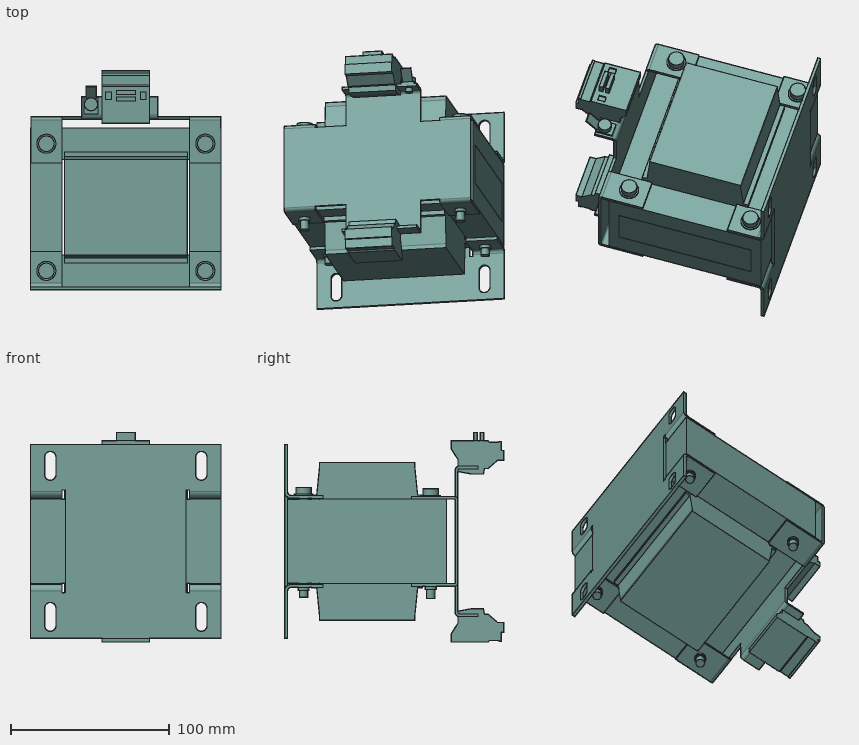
import cadquery as cq
import math


core_width = 120.0
core_length = 100.0
core_stack = 53.0
leg_width = 20.0
label_size = (87.0, 25.0)
label_thickness = 0.1
label_start = 8.5
label_corner = 1.0

sheet = 2.0
plate_height = 122.0
slot_length = 18.0
slot_width = 7.0
slot_spacing = 95.0
relief_width = 2.0
relief_top = 32.3
front_tab_gap = 0.5
front_tab_end = 24.25
front_bend_inner = 2.25

rear_sheet = 1.8
rear_width = 119.6
rear_web_height = 51.6
rear_face = 109.1
rear_tab_end = 80.0
rear_bend_inner = 0.5
arm_left = -27.8
arm_right = 20.1
shelf_top = 47.4
shelf_end = 121.6
shelf_bend_inner = 1.0

coil_width = 77.4
coil_top = 49.75
coil_taper = 1.8
coil_upright = 2.6
flange_top = 29.3
flange_overhang = 4.9

bolt_spacing_x = 100.0
bolt_edge = 10.0
washer_diameter = 12.0
washer_thickness = 0.7
head_diameter = 9.8
head_height = 4.2
nut_diameter = 7.0
nut_height = 2.0
shank_diameter = 5.4
bolt_length_under_head = 65.0

block_width = 30.0
block_top = 63.4
block_front = 104.8
block_front_bottom = 58.2
block_foot = 109.0
block_foot_top = 51.6
block_foot_bottom = 43.9
block_keel_start = 117.5
block_keel_end = 125.2
block_keel_bottom = 42.3
block_step_start = 125.8
block_step_end = 128.0
block_step = 45.7
block_nose_start = 134.0
block_nose_end = 138.05
block_nose_bottom = 50.9
block_nose_top = 57.2
block_lip_outer = 136.4
block_lip_inner = 134.9
block_lip_top = 62.9
block_ledge_end = 128.9
block_ledge = 62.4
jumper_width = 12.0
jumper_thickness = 2.4
jumper_top = 68.6
jumper_starts = (118.9, 123.0)
pocket_size = (3.6, 4.6)
pocket_depth = 1.0
pocket_spacing = 21.8
pocket_y = 122.1

earth_x = -21.9
earth_y = 116.8
earth_head_diameter = 8.2
earth_head_top = 52.0
earth_shank_diameter = 4.4
earth_shank_bottom = 43.0
earth_pad_width = 8.6
earth_pad_start = 110.7
earth_pad_thickness = 1.1
earth_blade_width = 6.6
earth_blade_thickness = 0.8
earth_blade_reach = 6.7

half_width = core_width / 2
half_stack = core_stack / 2
core_start = sheet
core_end = core_start + core_length
window_start = core_start + leg_width
window_end = core_end - leg_width
window_half = half_width - leg_width
front_tab_bottom = half_stack + front_tab_gap


def box(x0, x1, y0, y1, z0, z1):
    """Box between two opposite corners."""
    return cq.Workplane("XY").box(x1 - x0, y1 - y0, z1 - z0, centered=False).translate((x0, y0, z0))


def cylinder(x, y, z0, z1, diameter):
    """Upright cylinder between two heights."""
    return cq.Workplane("XY", origin=(x, y, z0)).circle(diameter / 2).extrude(z1 - z0)


def side_profile(x0):
    """Workplane in Y and Z, at the given X and extruding towards +X."""
    return cq.Workplane("YZ", origin=(x0, 0, 0))


def mirrored_in_z(shape):
    """The shape together with its reflection in the middle plane of the stack."""
    return shape.union(shape.mirror("XY"))


def bent_sheet(x0, x1, corner, upright_end, flat_end, inner_radius, thickness):
    """Sheet of L section; corner is the sharp outer corner of the bend (Y, Z)."""
    y, z = corner
    y_dir = math.copysign(1, flat_end - y)
    z_dir = math.copysign(1, upright_end - z)
    outer_radius = inner_radius + thickness
    center_y = y + y_dir * outer_radius
    center_z = z + z_dir * outer_radius
    diagonal = math.sqrt(0.5)

    def mid_arc(radius):
        return (center_y - y_dir * radius * diagonal, center_z - z_dir * radius * diagonal)

    return (
        side_profile(x0)
        .moveTo(y, upright_end)
        .lineTo(y, center_z)
        .threePointArc(mid_arc(outer_radius), (center_y, z))
        .lineTo(flat_end, z)
        .lineTo(flat_end, z + z_dir * thickness)
        .lineTo(center_y, z + z_dir * thickness)
        .threePointArc(mid_arc(inner_radius), (y + y_dir * thickness, center_z))
        .lineTo(y + y_dir * thickness, upright_end)
        .close()
        .extrude(x1 - x0)
    )


def make_core():
    core = box(-half_width, half_width, core_start, core_end, -half_stack, half_stack)
    window = box(-window_half, window_half, window_start, window_end, -half_stack, half_stack)
    label_length, label_height = label_size
    label = box(
        -half_width - label_thickness, -half_width,
        label_start, label_start + label_length,
        -label_height / 2, label_height / 2,
    )
    label = label.edges("|X and <Y").fillet(label_corner)
    return core.cut(window).union(label)


def make_coil():
    half_coil = coil_width / 2
    body = box(-half_coil, half_coil, window_start, window_end, -flange_top, flange_top)
    flange = box(
        -half_coil, half_coil,
        window_start - flange_overhang, window_end + flange_overhang,
        half_stack, flange_top,
    )
    crown = (
        side_profile(-half_coil)
        .moveTo(window_start - coil_taper, flange_top)
        .lineTo(window_start, coil_top - coil_upright)
        .lineTo(window_start, coil_top)
        .lineTo(window_end, coil_top)
        .lineTo(window_end, coil_top - coil_upright)
        .lineTo(window_end + coil_taper, flange_top)
        .close()
        .extrude(coil_width)
    )
    return body.union(mirrored_in_z(flange.union(crown)))


def make_mounting_plate():
    half_height = plate_height / 2
    plate = box(-half_width, half_width, 0, sheet, -half_height, half_height)
    slots = (
        cq.Workplane("XZ")
        .rect(slot_spacing, slot_spacing, forConstruction=True)
        .vertices()
        .slot2D(slot_length, slot_width, 90)
        .extrude(-sheet)
    )
    plate = plate.cut(slots)
    opening_edge = window_half - relief_width
    opening_width = half_width - opening_edge
    for x0, tab_x0 in ((-half_width, -half_width), (opening_edge, window_half)):
        plate = plate.cut(box(x0, x0 + opening_width, 0, sheet, -relief_top, relief_top))
        tab = bent_sheet(
            tab_x0, tab_x0 + leg_width, (0, front_tab_bottom),
            relief_top, front_tab_end, front_bend_inner, sheet,
        )
        plate = plate.union(mirrored_in_z(tab))
    return plate


def make_rear_bracket():
    tab_top = half_stack + rear_sheet
    inner_face = rear_face - rear_sheet
    half_web = rear_web_height / 2
    half_rear = rear_width / 2
    tab_width = half_rear - window_half
    bracket = box(-window_half, window_half, inner_face, rear_face, -half_web, half_web)
    for x0 in (-half_rear, window_half):
        tab = bent_sheet(
            x0, x0 + tab_width, (rear_face, tab_top),
            0, rear_tab_end, rear_bend_inner, rear_sheet,
        )
        bracket = bracket.union(mirrored_in_z(tab))
    arm = bent_sheet(
        arm_left, arm_right, (inner_face, shelf_top),
        0, shelf_end, shelf_bend_inner, rear_sheet,
    )
    return bracket.union(mirrored_in_z(arm))


def make_bolt(x, y, seat):
    """Clamping bolt whose washer rests on the sheet at height seat."""
    head_base = seat + washer_thickness
    bolt = cylinder(x, y, seat, head_base, washer_diameter)
    bolt = bolt.union(cylinder(x, y, head_base, head_base + head_height, head_diameter))
    bolt = bolt.union(cylinder(x, y, head_base - bolt_length_under_head, seat, shank_diameter))
    return bolt.union(cylinder(x, y, -seat - nut_height, -seat, nut_diameter))


def make_bolts():
    rows = (
        (core_start + bolt_edge, front_tab_bottom + sheet),
        (core_end - bolt_edge, half_stack + rear_sheet),
    )
    bolts = cq.Workplane("XY")
    for y, seat in rows:
        for x in (-bolt_spacing_x / 2, bolt_spacing_x / 2):
            bolts = bolts.union(make_bolt(x, y, seat))
    return bolts


def make_terminal_block():
    """Terminal block pair on the upper shelf, without its top details."""
    outline = [
        (block_front, block_top),
        (block_front, block_front_bottom),
        (block_foot, block_foot_top),
        (block_foot, block_foot_bottom),
        (block_keel_start, block_keel_bottom),
        (block_keel_end, block_keel_bottom),
        (block_step_start, block_step),
        (block_step_end, block_step),
        (block_nose_start, block_nose_bottom),
        (block_nose_end, block_nose_bottom),
        (block_nose_end, block_nose_top),
        (block_lip_outer, block_nose_top),
        (block_lip_outer, block_lip_top),
        (block_lip_inner, block_lip_top),
        (block_lip_inner, block_ledge),
        (block_ledge_end, block_ledge),
        (block_step_end, block_top),
    ]
    return side_profile(-block_width / 2).polyline(outline).close().extrude(block_width)


def make_terminals():
    upper = make_terminal_block()
    lower = upper.mirror("XY")
    for x in (-pocket_spacing / 2, pocket_spacing / 2):
        pocket = cq.Workplane("XY", origin=(x, pocket_y, block_top)).rect(*pocket_size).extrude(-pocket_depth)
        upper = upper.cut(pocket)
    for y in jumper_starts:
        jumper = box(
            -jumper_width / 2, jumper_width / 2,
            y, y + jumper_thickness,
            block_top - pocket_depth, jumper_top,
        )
        upper = upper.union(jumper)
    return upper.union(lower)


def make_earth_terminal():
    pad_top = shelf_top + earth_pad_thickness
    half_pad = earth_pad_width / 2
    half_blade = earth_blade_width / 2
    terminal = box(earth_x - half_pad, earth_x + half_pad, earth_pad_start, shelf_end, shelf_top, pad_top)
    terminal = terminal.union(cylinder(earth_x, earth_y, pad_top, earth_head_top, earth_head_diameter))
    terminal = terminal.union(cylinder(earth_x, earth_y, earth_shank_bottom, pad_top, earth_shank_diameter))
    offset = earth_blade_thickness * math.sqrt(0.5)
    blade = (
        side_profile(earth_x - half_blade)
        .moveTo(shelf_end - offset, pad_top - offset)
        .lineTo(shelf_end + earth_blade_reach, pad_top + earth_blade_reach)
        .lineTo(shelf_end + earth_blade_reach - offset, pad_top + earth_blade_reach + offset)
        .lineTo(shelf_end - 2 * offset, pad_top)
        .close()
        .extrude(earth_blade_width)
    )
    return terminal.union(blade)


result = (
    make_core()
    .union(make_coil())
    .union(make_mounting_plate())
    .union(make_rear_bracket())
    .union(make_bolts())
    .union(make_terminals())
    .union(make_earth_terminal())
)